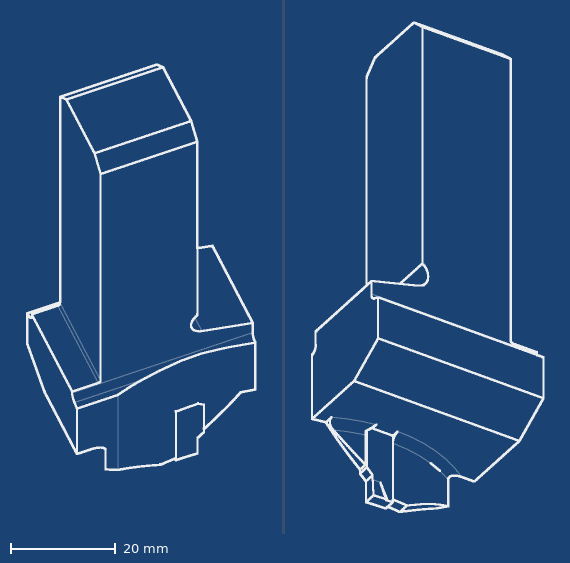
import cadquery as cq
import math

shank_width = 20.0
shank_half = shank_width / 2
shank_front = -12.8
shank_back = shank_front + shank_width
total_height = 101.5
top_chamfer_x = 3.0
top_chamfer_z = 2.8
base_fillet = 0.5
pick_margin = 0.5

head_width = 24.7
head_half_x = head_width / 2
head_length = 37.4
head_half_y = head_length / 2
head_bottom = 15.7
head_top = 32.7
groove_top = 32.3
groove_edge_x = 11.2
groove_edge_z = 30.7
groove_sag = 0.3
shoulder_z = 30.1
head_chamfer_z = 20.6
head_chamfer_x = -3.8

ramp_end_z = 35.3
ramp_angle = math.radians(15)
relief_radius = 3.0
relief_y = 8.9
relief_exit_z = 43.6

clearance_radius = 66
clearance_y = 6.6
clearance_bottom_x = 10.2

blade_inner_x = 7.7
blade_crest_y = 3.0
blade_back = 15.8
blade_bottom = 0.9
blade_front_z = 7.8
blade_heel_y = -0.7
blade_fillet = 1.7
blade_root_depth = 2.0
blade_root_x = 3.0
blade_overrun = 3.0
blade_back_arc = (11.6, 10.3)

insert_back = 8.5
insert_front = 2.6
insert_inner_x = 7.7
insert_outer_x = 10.4
insert_notch_z = 6.2
insert_nose_y = 7.2
insert_nose_z = 4.9
insert_heel_z = 0.3
insert_corner_y = 1.2
insert_corner_z = 0.9
seat_back_z = 7.1
pad_height = 3.9
pad_depth = 0.3
pad_top_y = 5.5
pad_bottom_y = 4.1


def extrude_along_x(profile, x_start, x_end):
    """Extrude a closed YZ profile between two X positions."""
    return profile.extrude(x_end - x_start).translate((x_start, 0, 0))


def make_shank():
    """Chamfered bar with the ramp behind its base."""
    chamfer_x = shank_half - top_chamfer_x
    chamfer_z = total_height - top_chamfer_z
    front_outline = (
        cq.Workplane("XZ")
        .polyline([
            (-shank_half, groove_top), (shank_half, groove_top),
            (shank_half, chamfer_z), (chamfer_x, total_height),
            (-chamfer_x, total_height), (-shank_half, chamfer_z),
        ])
        .close()
        .extrude(head_half_y, both=True)
    )
    tangent_y = relief_y - relief_radius * math.sin(ramp_angle)
    tangent_z = ramp_end_z + (head_half_y - tangent_y) * math.tan(ramp_angle)
    relief_z = tangent_z + relief_radius * math.cos(ramp_angle)
    side_outline = (
        cq.Workplane("YZ")
        .moveTo(shank_front, groove_top)
        .lineTo(head_half_y, groove_top)
        .lineTo(head_half_y, ramp_end_z)
        .lineTo(tangent_y, tangent_z)
        .threePointArc((relief_y - relief_radius, relief_z), (shank_back, relief_exit_z))
        .lineTo(shank_back, total_height)
        .lineTo(shank_front, total_height)
        .close()
    )
    return front_outline.intersect(extrude_along_x(side_outline, -shank_half, shank_half))


def make_head():
    """Block with grooved shoulders and one chamfered lower edge."""
    arc_x = (shank_half + groove_edge_x) / 2 - groove_sag
    arc_z = (groove_top + groove_edge_z) / 2 - groove_sag
    return (
        cq.Workplane("XZ")
        .moveTo(-shank_half, head_top)
        .lineTo(shank_half, head_top)
        .lineTo(shank_half, groove_top)
        .threePointArc((arc_x, arc_z), (groove_edge_x, groove_edge_z))
        .lineTo(head_half_x, shoulder_z)
        .lineTo(head_half_x, head_bottom)
        .lineTo(head_chamfer_x, head_bottom)
        .lineTo(-head_half_x, head_chamfer_z)
        .lineTo(-head_half_x, shoulder_z)
        .lineTo(-groove_edge_x, groove_edge_z)
        .threePointArc((-arc_x, arc_z), (-shank_half, groove_top))
        .close()
        .extrude(head_half_y, both=True)
    )


def make_blade():
    """Plate with a convex inner face, filleted into a root slab that lies inside the head."""
    edge_rise = head_half_x - blade_inner_x
    edge_reach = blade_crest_y - shank_front
    inner_radius = (edge_reach ** 2 + edge_rise ** 2) / (2 * edge_rise)

    def inner_face_x(y):
        return blade_inner_x + inner_radius - math.sqrt(inner_radius ** 2 - (y - blade_crest_y) ** 2)

    start_y = shank_front - blade_overrun
    start_x = inner_face_x(start_y)
    plan = (
        cq.Workplane("XY")
        .moveTo(start_x, start_y)
        .threePointArc((blade_inner_x, blade_crest_y), (inner_face_x(blade_back), blade_back))
        .lineTo(start_x, blade_back)
        .close()
        .extrude(head_bottom)
    )
    front_slope = (blade_front_z - blade_bottom) / (blade_heel_y - shank_front)
    start_z = blade_front_z + blade_overrun * front_slope
    side_outline = (
        cq.Workplane("YZ")
        .moveTo(start_y, head_bottom)
        .lineTo(start_y, start_z)
        .lineTo(blade_heel_y, blade_bottom)
        .lineTo(insert_front, blade_bottom)
        .lineTo(insert_back, seat_back_z)
        .threePointArc(blade_back_arc, (blade_back, head_bottom))
        .close()
    )
    plate = plan.intersect(extrude_along_x(side_outline, 0, start_x))
    slab = (
        cq.Workplane("XY", origin=(0, 0, head_bottom))
        .moveTo(blade_root_x, -head_half_y)
        .lineTo(start_x, -head_half_y)
        .lineTo(start_x, head_half_y)
        .lineTo(blade_root_x, head_half_y)
        .close()
        .extrude(blade_root_depth)
    )
    root_edge = cq.selectors.BoxSelector(
        (blade_inner_x, start_y, head_bottom - pick_margin),
        (start_x, blade_back, head_bottom + pick_margin),
    )
    blade = plate.union(slab).edges("%CIRCLE").edges(root_edge).fillet(blade_fillet)
    side_limit = cq.Workplane("XY").box(2 * head_half_x, 2 * head_half_y, 2 * total_height)
    return blade.intersect(side_limit)


def make_insert():
    """Cutting plate with a tapered pad at its tip."""
    outline = (
        cq.Workplane("YZ")
        .polyline([
            (insert_front, head_bottom), (insert_front, insert_heel_z),
            (insert_nose_y, 0), (insert_nose_y, insert_nose_z),
            (insert_back, insert_notch_z), (insert_back, head_bottom - insert_corner_z),
            (insert_back - insert_corner_y, head_bottom),
        ])
        .close()
    )
    plate = extrude_along_x(outline, insert_inner_x, insert_outer_x).cut(make_clearance())
    pad_outline = (
        cq.Workplane("YZ")
        .polyline([
            (insert_nose_y, 0), (insert_nose_y, pad_height),
            (pad_top_y, pad_height), (pad_bottom_y, 0),
        ])
        .close()
    )
    wedge = (
        cq.Workplane("XZ")
        .polyline([
            (insert_inner_x, pad_height), (insert_inner_x - pad_depth, 0),
            (insert_outer_x, 0), (insert_outer_x, pad_height),
        ])
        .close()
        .extrude(head_half_y, both=True)
    )
    pad = extrude_along_x(pad_outline, 0, insert_inner_x).intersect(wedge)
    under = (
        cq.Workplane("YZ")
        .polyline([(insert_nose_y, 0), (insert_front, insert_heel_z), (insert_front, 0)])
        .close()
    )
    return plate.union(pad).cut(extrude_along_x(under, 0, head_half_x))


def make_clearance():
    """Cylinder that hollows the +X side."""
    return (
        cq.Workplane("XY")
        .center(clearance_bottom_x + clearance_radius, clearance_y)
        .circle(clearance_radius)
        .extrude(head_top)
    )


def make_seat():
    """Opening for the insert, open through the blade and its root fillet."""
    outline = (
        cq.Workplane("YZ")
        .polyline([
            (insert_front, 0), (insert_back, 0),
            (insert_back, head_bottom - insert_corner_z),
            (insert_back - insert_corner_y, head_bottom), (insert_front, head_bottom),
        ])
        .close()
    )
    return extrude_along_x(outline, 0, head_half_x)


def make_holder():
    """Shank, head and blade as one solid, with the insert seat cut out."""
    body = make_head().union(make_shank())
    shank_base = cq.selectors.BoxSelector(
        (-shank_half, shank_front - pick_margin, head_top - pick_margin),
        (shank_half, shank_front + pick_margin, head_top + pick_margin),
    )
    body = body.edges("|X").edges(shank_base).fillet(base_fillet)
    body = body.union(make_blade())
    return body.cut(make_clearance()).cut(make_seat())


holder = make_holder()
insert = make_insert()

result = cq.Compound.makeCompound([holder.val(), insert.val()])